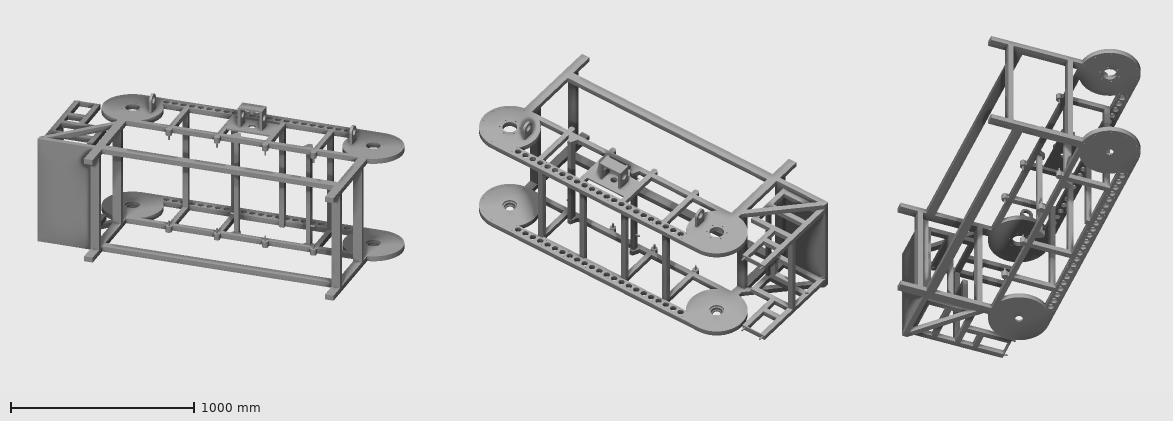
import cadquery as cq
import math

wheel_span = 1400.0
wheel_radius = 168.88
frame_height = 620.0
bar = 30.0
leg_width = 50.0
leg_end_y = -700.0
leg_root_y = -80.0
foot_rail_y = -550.0
foot_post_offset = 20.0
left_end_x = -350.0

frame_levels = (0.0, frame_height - bar)
inner_bottom = bar
inner_top = frame_height - bar

belt_rail_width = 68.0
lower_rail_y = -170.0
crossbar_count = 4
crossbar_pitch = wheel_span / (crossbar_count + 1)
crossbar_centres = [crossbar_pitch * (i + 1) for i in range(crossbar_count)]
open_bay_x = crossbar_centres[2]
belt_rail_y = wheel_radius - belt_rail_width

belt_hole_diameter = 35.0
belt_hole_pitch = 50.0
belt_hole_count = 23
first_belt_hole_x = 150.0
belt_hole_y = 128.5

screw_diameter = 5.0
screw_pitch = 150.0
screw_count = 6
end_screw_margin = 25.0
screw_span_y = 45.0
rim_screw_circle = 153.0
rim_screw_angles = (-85.0, -51.0, -17.0, 17.0, 51.0, 85.0)

hub_diameter = 80.0
bearing_diameter = 62.0
shaft_diameter = 42.0
hub_depth = 10.0
bearing_depth = 14.0
hub_bolt_diameter = 8.0
hub_bolt_circle = 112.0
hub_bolt_count = 6

roller_diameter = 35.0
roller_height = 35.0
roller_y = -188.0
roller_pin_diameter = 10.0
roller_pin_length = 30.0

gusset_base = 60.0
gusset_tip = 20.0
gusset_tip_y = -99.0
gusset_post_y = -143.0
gusset_posts = ((654.0, 26.0, 29.0, -1), (1072.0, 22.0, 41.0, 1))
stop_pin_y = -128.5
stop_pin_length = 24.0
stop_pins = ((139.0, 10.0), (570.0, 5.0))

mid_plate_half_width = 72.0
mid_plate_thickness = 10.0
mid_plate_hole = 40.0
lower_lip_width = 11.0

bracket_width = 70.0
bracket_thickness = 15.0
bracket_bore = 40.0
bracket_height = 100.0
left_bracket_x = 108.0
right_bracket_x = 1273.0
yoke_width = 75.0
yoke_height = 116.41
yoke_left_x = 625.0
yoke_right_x = 766.0
yoke_centre_x = (yoke_left_x + yoke_right_x) / 2
yoke_roof = 12.0
yoke_roof_setback = 6.0
yoke_boss_diameter = 27.0
yoke_boss_length = 26.0
bracket_bore_z = frame_height + bracket_height - bracket_width / 2

carriage_top_y = 36.0
carriage_step_y = -222.0
carriage_upper_right_x = -200.0
carriage_lower_right_x = -69.0
carriage_bar_tops = (-119.0, -356.0, -487.0)
carriage_levels = (inner_bottom, inner_top - bar)
end_strip = 6.0
carriage_pin_diameter = 10.0
carriage_pin_length = 25.0
carriage_post_width = 20.0
spigot_diameter = 20.0
spigot_length = 11.0
spigot_places = (-375.0, -525.0)
ring_bottom_z = 222.0
ring_top_z = 395.0


def block(x0, x1, y0, y1, z0, z1):
    """Axis-aligned box between two corners."""
    return cq.Workplane("XY").box(x1 - x0, y1 - y0, z1 - z0, centered=False).translate((x0, y0, z0))


def disc(diameter, x, y, z0, z1):
    """Upright cylinder between two heights."""
    return cq.Workplane("XY").center(x, y).circle(diameter / 2).extrude(z1 - z0).translate((0, 0, z0))


def side_frame(z0):
    """Flat frame with two round end plates, two rails, crossbars, legs and a foot rail."""
    z1 = z0 + bar
    frame = block(0, wheel_span, belt_rail_y, wheel_radius, z0, z1)
    frame = frame.union(block(0, wheel_span, lower_rail_y, lower_rail_y + bar, z0, z1))
    frame = frame.union(block(0, wheel_span, foot_rail_y, foot_rail_y + leg_width, z0, z1))
    for x in (0, wheel_span):
        frame = frame.union(disc(2 * wheel_radius, x, 0, z0, z1))
        frame = frame.union(block(x - leg_width / 2, x + leg_width / 2, leg_end_y, leg_root_y, z0, z1))
    for x in crossbar_centres:
        is_open = z0 == 0 and x == open_bay_x
        end_y = lower_rail_y if is_open else belt_rail_y
        frame = frame.union(block(x - bar / 2, x + bar / 2, roller_y, end_y, z0, z1))
    return frame.union(brace(z0)).cut(frame_holes(z0))


def brace(z0):
    """45 degree strut from the outer corner of the end panel up to the leg."""
    panel_top_y = foot_rail_y + bar
    run = -leg_width / 2 - left_end_x
    drop = bar * math.sqrt(2)
    points = [
        (left_end_x, panel_top_y),
        (left_end_x + run, panel_top_y + run),
        (left_end_x + run, panel_top_y + run - drop),
        (left_end_x + drop, panel_top_y),
    ]
    return cq.Workplane("XY").polyline(points).close().extrude(bar).translate((0, 0, z0))


def frame_holes(z0):
    belt_points = [(first_belt_hole_x + i * belt_hole_pitch, belt_hole_y) for i in range(belt_hole_count)]
    first_screw_x = wheel_span / 2 - screw_pitch * (screw_count - 1) / 2
    screw_columns = [first_screw_x + i * screw_pitch for i in range(screw_count)]
    screw_columns += [belt_points[0][0] - end_screw_margin, belt_points[-1][0] + end_screw_margin]
    screw_points = [(x, belt_hole_y + side * screw_span_y / 2) for x in screw_columns for side in (-1, 1)]
    for degrees in rim_screw_angles:
        angle = math.radians(degrees)
        x = wheel_span + rim_screw_circle * math.cos(angle)
        screw_points.append((x, rim_screw_circle * math.sin(angle)))
    plane = cq.Workplane("XY")
    holes = plane.pushPoints(belt_points).circle(belt_hole_diameter / 2).extrude(bar)
    holes = holes.union(plane.pushPoints(screw_points).circle(screw_diameter / 2).extrude(bar))
    return holes.translate((0, 0, z0))


def hub_bolt_holes():
    """Ring of bolt holes round each hub of the upper frame."""
    holes = None
    for x in (0, wheel_span):
        places = cq.Workplane("XY").center(x, 0).polarArray(hub_bolt_circle / 2, 90, 360, hub_bolt_count)
        ring = places.circle(hub_bolt_diameter / 2).extrude(bar).translate((0, 0, inner_top))
        holes = ring if holes is None else holes.union(ring)
    return holes


def hub_bores():
    """Plain hole in the upper frame, stepped bearing seat in the lower one."""
    seat_top = bar - hub_depth
    bores = None
    for x in (0, wheel_span):
        bore = disc(hub_diameter, x, 0, inner_top, frame_height)
        bore = bore.union(disc(hub_diameter, x, 0, seat_top, bar))
        bore = bore.union(disc(bearing_diameter, x, 0, seat_top - bearing_depth, seat_top))
        bore = bore.union(disc(shaft_diameter, x, 0, 0, seat_top))
        bores = bore if bores is None else bores.union(bore)
    return bores


def frame_posts():
    """Upright posts that join the two side frames."""
    posts = None
    places = [(x, bar, belt_rail_y) for x in crossbar_centres]
    for x in (0, wheel_span):
        places += [(x, leg_width, carriage_step_y), (x, leg_width, foot_rail_y - foot_post_offset)]
    for x, width, top_y in places:
        post = block(x - width / 2, x + width / 2, top_y - bar, top_y, 0, frame_height)
        posts = post if posts is None else posts.union(post)
    return posts


def rollers():
    """Roller at the end of every crossbar, with its pin pointing to the other frame."""
    parts = None
    pin_reach = roller_height + roller_pin_length
    for x in crossbar_centres:
        lower = disc(roller_diameter, x, roller_y, 0, roller_height)
        lower = lower.union(disc(roller_pin_diameter, x, roller_y, 0, pin_reach))
        upper = lower.mirror("XY").translate((0, 0, frame_height))
        pair = lower.union(upper)
        parts = pair if parts is None else parts.union(pair)
    return parts


def gusset_post(x, width, depth, side):
    """Post on the lower rail with a gusset at each end and two stop pins."""
    base_y = lower_rail_y + bar
    half_post = width / 2
    post = block(x - half_post, x + half_post, gusset_post_y, gusset_post_y + depth, 0, frame_height)
    points = [
        (x - gusset_base / 2, base_y),
        (x + gusset_base / 2, base_y),
        (x + gusset_tip / 2, gusset_tip_y),
        (x - gusset_tip / 2, gusset_tip_y),
    ]
    gusset = cq.Workplane("XY").polyline(points).close().extrude(bar)
    for z0 in frame_levels:
        post = post.union(gusset.translate((0, 0, z0)))
    for z, diameter in stop_pins:
        pin = cq.Workplane("YZ").center(stop_pin_y, z).circle(diameter / 2)
        post = post.union(pin.extrude(side * (half_post + stop_pin_length)).translate((x, 0, 0)))
    return post


def mid_plate():
    x0 = crossbar_centres[1]
    x1 = crossbar_centres[2]
    z0 = frame_height - mid_plate_thickness
    plate = block(x0, x1, -mid_plate_half_width, mid_plate_half_width, z0, frame_height)
    return plate.cut(disc(mid_plate_hole, yoke_centre_x, 0, z0, frame_height))


def lower_lip():
    """Narrow lip along the inner edge of the upper rail of the lower frame."""
    x0 = crossbar_centres[1]
    x1 = crossbar_centres[3]
    return block(x0, x1, belt_rail_y - lower_lip_width, belt_rail_y, 0, bar)


def round_bracket(x0):
    thickness = bracket_thickness
    radius = bracket_width / 2
    bracket = block(x0, x0 + thickness, -radius, radius, frame_height, bracket_bore_z)
    crown = cq.Workplane("YZ").center(0, bracket_bore_z)
    bracket = bracket.union(crown.circle(radius).extrude(thickness).translate((x0, 0, 0)))
    return bracket.cut(crown.circle(bracket_bore / 2).extrude(thickness).translate((x0, 0, 0)))


def yoke():
    """Two square cheeks under a common roof, with a boss hanging from the roof."""
    half = yoke_width / 2
    top = frame_height + yoke_height
    body = block(yoke_left_x, yoke_left_x + bracket_thickness, -half, half, frame_height, top)
    body = body.union(block(yoke_right_x - bracket_thickness, yoke_right_x, -half, half, frame_height, top))
    bore = cq.Workplane("YZ").center(0, bracket_bore_z).circle(bracket_bore / 2)
    body = body.cut(bore.extrude(yoke_right_x))
    roof_z = top - yoke_roof
    body = body.union(block(yoke_left_x, yoke_right_x, yoke_roof_setback - half, half, roof_z, top))
    return body.union(disc(yoke_boss_diameter, yoke_centre_x, 0, roof_z - yoke_boss_length, top))


def end_panel():
    return block(left_end_x, -leg_width / 2, foot_rail_y, foot_rail_y + bar, 0, frame_height)


def carriage_frame(z0):
    """Stepped ladder frame of the carriage with two pins at its narrow end."""
    z1 = z0 + bar
    panel_y = foot_rail_y + bar
    inner_x = carriage_upper_right_x - bar
    frame = block(left_end_x, left_end_x + bar, panel_y, carriage_top_y, z0, z1)
    frame = frame.union(block(inner_x, carriage_upper_right_x, carriage_step_y, carriage_top_y, z0, z1))
    lower_right = block(carriage_lower_right_x - bar, carriage_lower_right_x, panel_y, carriage_step_y, z0, z1)
    frame = frame.union(lower_right)
    rungs = [(carriage_bar_tops[0], inner_x), (carriage_step_y, carriage_lower_right_x)]
    rungs += [(y, carriage_lower_right_x) for y in carriage_bar_tops[1:]]
    for y, x in rungs:
        frame = frame.union(block(left_end_x, x, y - bar, y, z0, z1))
    frame = frame.union(block(left_end_x, inner_x, carriage_top_y - end_strip, carriage_top_y, z0, z1))
    for x in (left_end_x + bar / 2, inner_x + bar / 2):
        pin = cq.Workplane("XZ").center(x, z0 + bar / 2).circle(carriage_pin_diameter / 2)
        frame = frame.union(pin.extrude(-carriage_pin_length).translate((0, carriage_top_y, 0)))
    return frame


def carriage_ring():
    """Upright post of the carriage with a rectangular loop on its inner side."""
    y0 = carriage_step_y - bar
    y1 = carriage_step_y
    post = block(left_end_x, left_end_x + bar, y0, y1, inner_bottom, inner_top)
    loop = block(left_end_x, carriage_upper_right_x, y0, y1, ring_bottom_z, ring_top_z)
    window_z0 = ring_bottom_z + bar
    window_z1 = ring_top_z - bar
    window = block(left_end_x + bar, carriage_upper_right_x - bar, y0, y1, window_z0, window_z1)
    return post.union(loop.cut(window))


def spigots():
    """Short spigots between the upper and the lower outer carriage rail, on their facing sides."""
    parts = None
    x = left_end_x + bar / 2
    lower_z = carriage_levels[0] + bar
    upper_z = carriage_levels[1]
    for y in spigot_places:
        pair = disc(spigot_diameter, x, y, lower_z, lower_z + spigot_length)
        pair = pair.union(disc(spigot_diameter, x, y, upper_z - spigot_length, upper_z))
        parts = pair if parts is None else parts.union(pair)
    return parts


def carriage_posts():
    """Uprights under the two lowest rungs."""
    x1 = carriage_lower_right_x
    posts = None
    for y in carriage_bar_tops[1:]:
        post = block(x1 - carriage_post_width, x1, y - bar, y, inner_bottom, inner_top)
        posts = post if posts is None else posts.union(post)
    return posts


result = side_frame(frame_levels[0]).union(side_frame(frame_levels[1]))
result = result.cut(hub_bores()).cut(hub_bolt_holes())
result = result.union(frame_posts()).union(rollers())
for gusset_place in gusset_posts:
    result = result.union(gusset_post(*gusset_place))
result = result.union(mid_plate()).union(lower_lip())
result = result.union(round_bracket(left_bracket_x))
result = result.union(round_bracket(right_bracket_x))
result = result.union(yoke()).union(end_panel())
for level in carriage_levels:
    result = result.union(carriage_frame(level))
result = result.union(carriage_ring()).union(carriage_posts()).union(spigots())